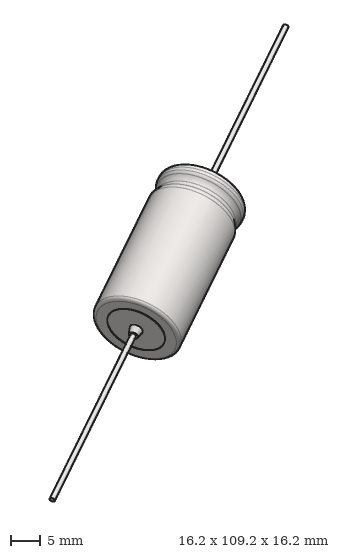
import cadquery as cq

can_radius = 8.1
can_front = -15.4
can_back = 16.3

front_round = 0.7
back_round = 1.3

groove_depth = 0.7
groove_front = 10.4
front_bend = 11.4
groove_floor = 12.3
back_bend = 13.7
groove_back = 14.3

disc_radius = 5.4
disc_recess = 0.1
disc_rise = 0.3

lead_radius = 0.5
lead_length = 109.2

bead_foot_radius = 1.2
bead_tip_radius = 0.9
bead_tip = -16.7


def bend_point(bend, lip):
    """Point on the straight line from lip to groove floor, where the two tangent arcs join."""
    depth_share = (bend - lip) / (groove_floor - lip)
    return can_radius - groove_depth * depth_share, bend


def make_can():
    half_profile = (
        cq.Workplane("XY")
        .moveTo(0, can_front)
        .lineTo(can_radius, can_front)
        .lineTo(can_radius, groove_front)
        .tangentArcPoint(bend_point(front_bend, groove_front), relative=False)
        .tangentArcPoint((can_radius - groove_depth, groove_floor), relative=False)
        .tangentArcPoint(bend_point(back_bend, groove_back), relative=False)
        .tangentArcPoint((can_radius, groove_back), relative=False)
        .lineTo(can_radius, can_back)
        .lineTo(0, can_back)
        .close()
    )
    can = half_profile.revolve(360, (0, 0, 0), (0, 1, 0))
    can = can.faces("<Y").edges().fillet(front_round)
    return can.faces(">Y").edges().fillet(back_round)


def rod(radius, start, length):
    """Cylinder along +Y from the given start."""
    return cq.Workplane("XZ", origin=(0, start, 0)).circle(radius).extrude(-length)


def make_bead():
    foot = can_front + disc_recess
    half_profile = cq.Workplane("XY").polyline(
        [(0, foot), (bead_foot_radius, foot), (bead_tip_radius, bead_tip), (0, bead_tip)]
    )
    return half_profile.close().revolve(360, (0, 0, 0), (0, 1, 0))


front_recess = rod(disc_radius, can_front, disc_recess)
back_disc = rod(disc_radius, can_back, disc_rise)
lead = rod(lead_radius, -lead_length / 2, lead_length)

result = make_can().cut(front_recess).union(back_disc).union(make_bead()).union(lead)